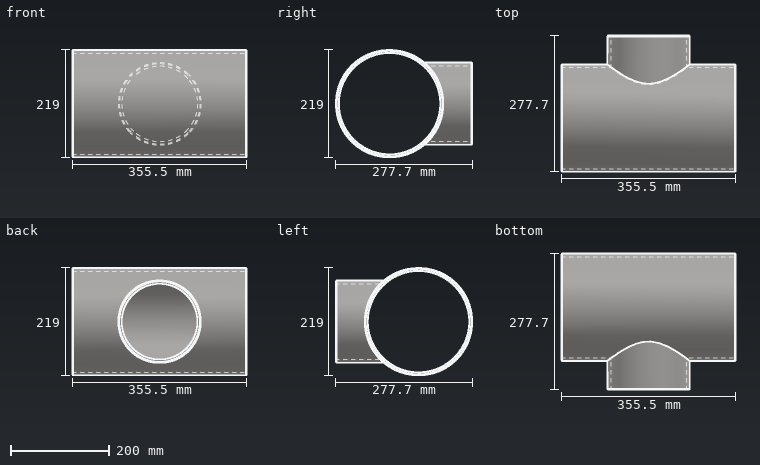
import cadquery as cq

run_length = 355.5
run_diameter = 219.0
run_wall = 6.5
branch_reach = 168.2
branch_diameter = 168.2
branch_wall = 7.0

end_chamfer = 2.0


def cylinder(workplane, diameter, length):
    return workplane.circle(diameter / 2).extrude(length)


run_plane = cq.Workplane("YZ", origin=(-run_length / 2, 0, 0))
branch_plane = cq.Workplane("XZ").transformed(rotate=(180, 0, 0))

run = cylinder(run_plane, run_diameter, run_length).faces("<X or >X").chamfer(end_chamfer)
branch = cylinder(branch_plane, branch_diameter, branch_reach).faces(">Y").chamfer(end_chamfer)

run_bore = cylinder(run_plane, run_diameter - 2 * run_wall, run_length)
branch_bore = cylinder(branch_plane, branch_diameter - 2 * branch_wall, branch_reach)

result = run.union(branch).cut(run_bore).cut(branch_bore)